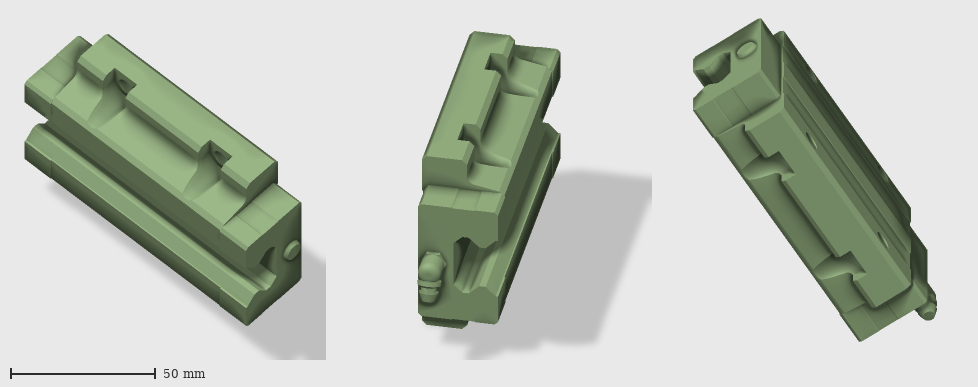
import cadquery as cq
import math


overall_length = 117.7
flange_width = 70.0
overall_depth = 29.5

block_length = 79.8
block_depth = 29.2
flange_depth = 16.0
flange_chamfer = 1.8
shoulder_root_half_width = 25.9
shoulder_nose_half_width = 23.8
shoulder_nose_depth = 27.3
shoulder_fillet = 3.0
nose_half_width = 22.2

relief_depth = 0.4
relief_inner = 6.2
relief_outer = 20.5

hole_diameter = 6.8
hole_spacing_x = 45.0
hole_spacing_z = 57.1
pocket_width = 10.6
pocket_floor_depth = 10.0

cap_body_length = 104.5
cap_back_depth = 1.3
cap_half_width = 23.2
cap_chamfer = 1.2
cap_step = 0.2
cap_step_start = 13.1
cap_step_end = 21.4
cap_step_run = 0.4

channel_floor_depth = 13.9
channel_floor_half_width = 8.7
groove_half_width = 11.5
groove_start_depth = 17.0
groove_end_depth = 19.2
crest_half_width = 8.0
crest_start_depth = 23.0
crest_end_depth = 25.2
mouth_depth = 28.7

port_depth = 6.8
plug_ball_diameter = 8.0
plug_face_diameter = 6.6
plug_length = 1.6
hex_across_flats = 8.0
hex_length = 1.6
elbow_diameter = 8.0
elbow_length = 9.6
elbow_fillet = 2.6
spout_tilt = 22.5

stem_radius = 3.3
collar_radius = 4.1
neck_radius = 2.7
head_radius = 3.4
tip_radius = 2.1
collar_start = 3.8
collar_bevel = 5.3
collar_end = 6.1
head_start = 7.6
head_bevel = 8.1
tip_end = 11.1

tilt = math.radians(spout_tilt)
spout_reach = head_bevel * math.sin(tilt) + head_radius * math.cos(tilt)
spout_x = cap_body_length / 2 + plug_length - overall_length + spout_reach


def extrude_along_x(points, length):
    """Prism centred on X = 0 from (depth, z) outline points."""
    outline = [(-depth, z) for depth, z in points]
    return cq.Workplane("YZ").polyline(outline).close().extrude(length / 2, both=True)


def mirrored(half):
    """Close a half outline (z > 0) with its mirror image about Z = 0."""
    return half + [(depth, -z) for depth, z in reversed(half)]


def make_block():
    half_flange = flange_width / 2
    body = extrude_along_x(
        mirrored([
            (0, half_flange - flange_chamfer),
            (flange_chamfer, half_flange),
            (flange_depth - flange_chamfer, half_flange),
            (flange_depth, half_flange - flange_chamfer),
            (flange_depth, shoulder_root_half_width),
            (shoulder_nose_depth, shoulder_nose_half_width),
            (block_depth, nose_half_width),
        ]),
        block_length,
    )
    for side in (1, -1):
        root = cq.selectors.NearestToPointSelector((0, -flange_depth, side * shoulder_root_half_width))
        body = body.edges("|X").edges(root).fillet(shoulder_fillet)
        relief = cq.Workplane("XY").box(block_length, 2 * relief_depth, relief_outer - relief_inner)
        body = body.cut(relief.translate((0, 0, side * (relief_inner + relief_outer) / 2)))
    return body


def cut_mounting_holes(body):
    pocket_depth = overall_depth - pocket_floor_depth
    hole_plane = cq.Workplane("XZ")
    pocket_plane = hole_plane.workplane(offset=pocket_floor_depth)
    for x in (-hole_spacing_x / 2, hole_spacing_x / 2):
        for side in (1, -1):
            z = side * hole_spacing_z / 2
            hole = hole_plane.center(x, z).circle(hole_diameter / 2).extrude(overall_depth)
            round_end = pocket_plane.center(x, z).circle(pocket_width / 2).extrude(pocket_depth)
            open_end = (
                pocket_plane.center(x, z + side * pocket_width / 2)
                .rect(pocket_width, pocket_width)
                .extrude(pocket_depth)
            )
            body = body.cut(hole).cut(round_end).cut(open_end)
    return body


def make_caps():
    """One prism running through the block; its two ends form the end caps."""
    caps = extrude_along_x(
        mirrored([
            (cap_back_depth, cap_half_width - cap_chamfer),
            (cap_back_depth + cap_chamfer, cap_half_width),
            (cap_step_start, cap_half_width),
            (cap_step_start + cap_step_run, cap_half_width - cap_step),
            (cap_step_end - cap_step_run, cap_half_width - cap_step),
            (cap_step_end, cap_half_width),
            (overall_depth - cap_chamfer, cap_half_width),
            (overall_depth, cap_half_width - cap_chamfer),
        ]),
        cap_body_length,
    )
    middle = cq.Workplane("XY").box(block_length, 2 * overall_depth, flange_width)
    return caps.cut(middle)


def make_channel():
    return extrude_along_x(
        mirrored([
            (channel_floor_depth, channel_floor_half_width),
            (groove_start_depth, groove_half_width),
            (groove_end_depth, groove_half_width),
            (crest_start_depth, crest_half_width),
            (crest_end_depth, crest_half_width),
            (mouth_depth, groove_half_width),
            (overall_depth, groove_half_width),
        ]),
        cap_body_length,
    )


def make_plug():
    """Slice of a ball: its rounded rim runs from the cap wall to a flat outer face."""
    ball_radius = plug_ball_diameter / 2
    face_radius = plug_face_diameter / 2
    centre_x = plug_length - math.sqrt(ball_radius**2 - face_radius**2)

    def rim_point(x):
        return (x, math.sqrt(ball_radius**2 - (x - centre_x) ** 2))

    plug = (
        cq.Workplane("XY")
        .lineTo(*rim_point(0))
        .threePointArc(rim_point(plug_length / 2), (plug_length, face_radius))
        .lineTo(plug_length, 0)
        .close()
        .revolve(360, (0, 0, 0), (1, 0, 0))
    )
    return plug.translate((cap_body_length / 2, -port_depth, 0))


def make_spout():
    profile = [
        (0, 0),
        (stem_radius, 0),
        (stem_radius, collar_start),
        (collar_radius, collar_start),
        (collar_radius, collar_bevel),
        (neck_radius, collar_end),
        (neck_radius, head_start),
        (head_radius, head_start),
        (head_radius, head_bevel),
        (tip_radius, tip_end),
        (0, tip_end),
    ]
    outline = [(radius, -station) for radius, station in profile]
    upright = cq.Workplane("XZ").polyline(outline).close().revolve(360, (0, 0, 0), (0, 1, 0))
    tilted = upright.rotate((0, 0, 0), (0, 1, 0), spout_tilt)
    return tilted.translate((spout_x, -port_depth, 0))


def make_nipple():
    base = cq.Workplane("YZ", origin=(-cap_body_length / 2, -port_depth, 0))
    across_corners = hex_across_flats / math.cos(math.pi / 6)
    hexagon = base.polygon(6, across_corners).extrude(-hex_length)
    elbow = base.circle(elbow_diameter / 2).extrude(-elbow_length)
    elbow = elbow.faces("<X").edges().fillet(elbow_fillet)
    return hexagon.union(elbow).union(make_spout())


carriage = cut_mounting_holes(make_block()).union(make_caps()).cut(make_channel())
result = carriage.union(make_plug()).union(make_nipple())